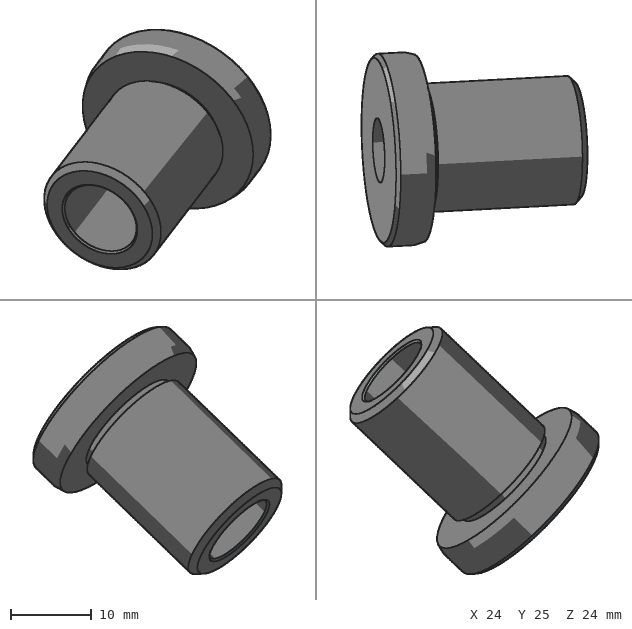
import cadquery as cq
import math

length = 25.0
end_y = -length / 2
back_y = length / 2

flange_radius = 12.0
flange_thickness = 5.0
flange_chamfer = 0.5
taper_length = 1.2
taper_depth = 0.32
flange_front_y = back_y - flange_thickness

barrel_radius = 8.0
barrel_chamfer = 0.8
groove_width = 1.0
groove_depth = 0.8
groove_radius = barrel_radius - groove_depth
groove_front_y = flange_front_y - groove_width

bore_radius = 4.9
bore_chamfer = 0.25
hole_radius = 4.0
cone_angle = 120.0
cone_length = (bore_radius - hole_radius) / math.tan(math.radians(cone_angle / 2))
bore_depth = length - flange_thickness
cone_start_y = end_y + bore_depth
cone_end_y = cone_start_y + cone_length

half_section = [
    (bore_radius + bore_chamfer, end_y),
    (barrel_radius - barrel_chamfer, end_y),
    (barrel_radius, end_y + barrel_chamfer),
    (barrel_radius, groove_front_y),
    (groove_radius, groove_front_y),
    (groove_radius, flange_front_y),
    (flange_radius - taper_depth, flange_front_y),
    (flange_radius, flange_front_y + taper_length),
    (flange_radius, back_y - flange_chamfer),
    (flange_radius - flange_chamfer, back_y),
    (hole_radius, back_y),
    (hole_radius, cone_end_y),
    (bore_radius, cone_start_y),
    (bore_radius, end_y + bore_chamfer),
]

result = cq.Workplane("XY").polyline(half_section).close().revolve(360, (0, 0, 0), (0, 1, 0))